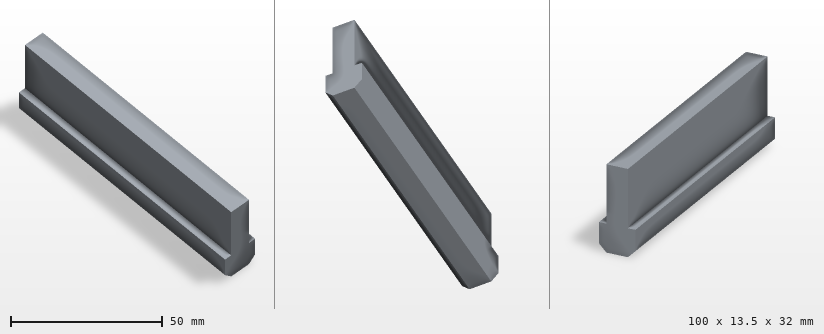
import cadquery as cq

length = 100.0
height = 32.0

head_width = 13.5
head_height = 10.5
web_width = 8.0

chamfer = (head_width - web_width) / 2


def t_bar():
    """Extrude half of the T section (wide head below, thin web above) and mirror it."""
    head_y = head_width / 2
    web_y = web_width / 2
    half_section = [
        (0, 0),
        (head_y - chamfer, 0),
        (head_y, chamfer),
        (head_y, head_height),
        (web_y, head_height),
        (web_y, height),
        (0, height),
    ]
    half_bar = cq.Workplane("YZ").polyline(half_section).close().extrude(length)
    return half_bar.union(half_bar.mirror("XZ")).clean()


result = t_bar()